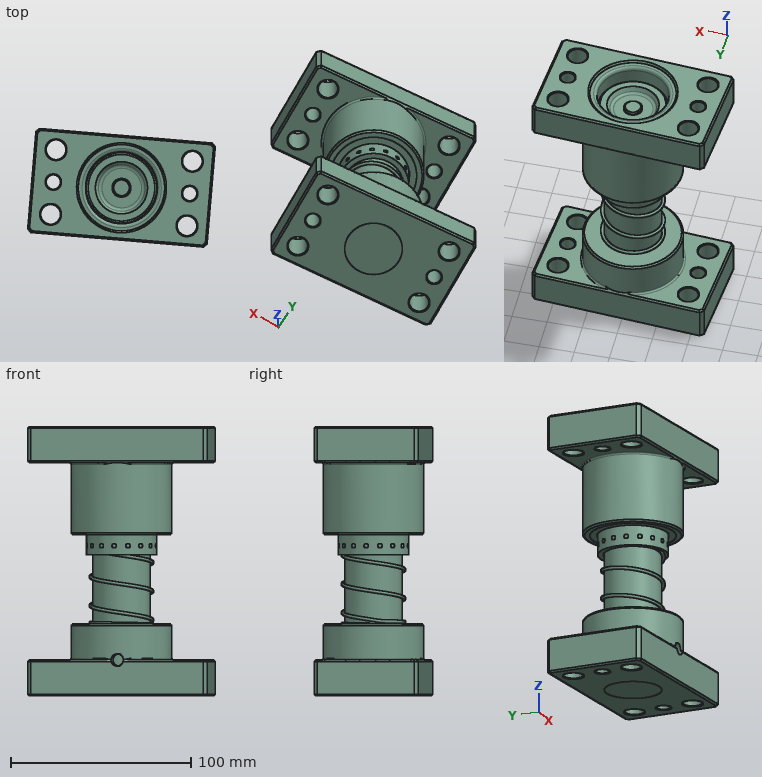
import cadquery as cq
import math


total_height = 149.61
plate_length = 100.0
plate_width = 58.0
plate_thickness = 20.0
corner_chamfer = 2.0
edge_chamfer = 1.0
plate_turn = -4.82
boss_radius = 28.0
boss_chamfer = 1.0
boss_root_fillet = 1.0
lower_holder_height = 40.0
upper_holder_height = 60.0
upper_holder_bottom = total_height - upper_holder_height

hole_spacing_x = 76.0
bolt_spacing_y = 36.0
bolt_hole_radius = 5.5
dowel_hole_radius = 4.0
hole_chamfer = 0.5
screw_hole_radius = 3.4

bush_radius = 24.0
bush_bore_radius = 20.0
bush_mouth_fillet = 2.0
bush_seat_chamfer = 1.0
bush_top = total_height - bush_seat_chamfer

post_radius = 16.0

ball_radius = (bush_bore_radius - post_radius) / 2
ball_circle_radius = post_radius + ball_radius
ball_count = 16
ball_row_start = 280.5
ball_row_height = 5.0
cage_radius = 19.6
cage_bore_radius = 16.5
cage_bottom = 78.4

cap_top = total_height - 10.0
cap_floor = cap_top - 3.0
cap_thickness = 2.0
cap_bottom = cap_floor - cap_thickness
cap_radius = 18.5
cap_flange_thickness = 1.5
cap_flange_bottom = cap_top - cap_flange_thickness
cap_mouth_radius = 14.5
cap_floor_radius = 11.0
cap_corner_radius = 12.9
cap_corner_height = 0.8

screw_radius = 5.2
screw_chamfer = 0.8
screw_top = cap_floor + 1.5
screw_bottom = cap_bottom - 10.0

wire_radius = 0.9
coil_radius = 17.0
coil_pitch = 16.0
closed_pitch = 2.0
knee_angle = 15.0
knee_height = lower_holder_height + 1.5
closed_turns = 0.94
open_turns = (cage_bottom + 2 * wire_radius - knee_height) / coil_pitch
path_steps_per_turn = 16


def cylinder(radius, bottom, top):
    return cq.Workplane("XY").workplane(offset=bottom).circle(radius).extrude(top - bottom)


def chamfered_hole(x, y, radius):
    """Cutter for a through hole in a plate, chamfered at both faces."""
    mouth = radius + hole_chamfer
    profile = (
        cq.Workplane("XZ")
        .moveTo(0, 0)
        .lineTo(mouth, 0)
        .lineTo(radius, hole_chamfer)
        .lineTo(radius, plate_thickness - hole_chamfer)
        .lineTo(mouth, plate_thickness)
        .lineTo(0, plate_thickness)
        .close()
    )
    return profile.revolve(360, (0, 0), (0, 1)).translate((x, y, 0))


def boss_root():
    """Fillet ring at the foot of a boss, cut off by the plate's edge chamfers."""
    foot = boss_radius + boss_root_fillet
    z = plate_thickness
    ring = (
        cq.Workplane("XZ")
        .moveTo(0, z)
        .lineTo(foot, z)
        .radiusArc((boss_radius, z + boss_root_fillet), boss_root_fillet)
        .lineTo(0, z + boss_root_fillet)
        .close()
        .revolve(360, (0, 0), (0, 1))
    )
    half_face = plate_width / 2 - edge_chamfer
    chamfer_planes = (
        cq.Workplane("YZ")
        .moveTo(-half_face, z)
        .lineTo(half_face, z)
        .lineTo(half_face - boss_root_fillet, z + boss_root_fillet)
        .lineTo(-half_face + boss_root_fillet, z + boss_root_fillet)
        .close()
        .extrude(plate_length / 2, both=True)
    )
    return ring.intersect(chamfer_planes)


def holder_blank(height):
    """Flanged holder with its plate at Z = 0 and its boss pointing up."""
    plate = (
        cq.Workplane("XY")
        .box(plate_length, plate_width, plate_thickness, centered=(True, True, False))
        .edges("|Z")
        .chamfer(corner_chamfer)
        .faces("<Z or >Z")
        .chamfer(edge_chamfer)
    )
    boss = cylinder(boss_radius, plate_thickness / 2, height).faces(">Z").chamfer(boss_chamfer)
    blank = plate.union(boss).union(boss_root())
    for side in (-1, 1):
        x = side * hole_spacing_x / 2
        blank = blank.cut(chamfered_hole(x, 0, dowel_hole_radius))
        for y in (-bolt_spacing_y / 2, bolt_spacing_y / 2):
            blank = blank.cut(chamfered_hole(x, y, bolt_hole_radius))
    return blank


def turned(body):
    return body.rotate((0, 0, 0), (0, 0, 1), plate_turn)


def make_lower_holder():
    radial_hole = (
        cq.Workplane("XZ", origin=(0, -plate_width / 2, plate_thickness))
        .circle(screw_hole_radius)
        .extrude(-plate_width / 2)
    )
    body = holder_blank(lower_holder_height).cut(radial_hole)
    return turned(body.cut(cylinder(post_radius, 0, lower_holder_height)))


def make_upper_holder():
    blank = holder_blank(upper_holder_height).rotate((0, 0, 0), (1, 0, 0), 180)
    body = blank.translate((0, 0, total_height))
    body = body.cut(cylinder(bush_radius, upper_holder_bottom, total_height))
    bush_mouth = body.faces(">Z").edges("%CIRCLE").edges(cq.selectors.RadiusNthSelector(-1))
    return turned(bush_mouth.chamfer(bush_seat_chamfer))


def make_bush():
    body = cylinder(bush_radius, upper_holder_bottom, bush_top)
    body = body.cut(cylinder(bush_bore_radius, upper_holder_bottom, bush_top))
    bore_mouth = cq.selectors.RadiusNthSelector(0)
    return body.faces(">Z").edges(bore_mouth).fillet(bush_mouth_fillet)


def make_post():
    body = cylinder(post_radius, 0, cap_bottom)
    return body.cut(cylinder(screw_radius, screw_bottom, cap_bottom))


def make_cage():
    cage = cylinder(cage_radius, cage_bottom, cap_flange_bottom)
    cage = cage.cut(cylinder(cage_bore_radius, cage_bottom, cap_flange_bottom))
    for i in range(ball_count):
        angle = math.radians(ball_row_start + i * 360 / ball_count)
        x = ball_circle_radius * math.cos(angle)
        y = ball_circle_radius * math.sin(angle)
        ball = cq.Workplane("XY").sphere(ball_radius)
        cage = cage.union(ball.translate((x, y, cage_bottom + ball_row_height)))
    return cage


def make_cap():
    corner = cap_floor + cap_corner_height
    corner_width = cap_corner_radius - cap_floor_radius
    corner_arc_radius = (corner_width**2 + cap_corner_height**2) / (2 * cap_corner_height)
    return (
        cq.Workplane("XZ")
        .moveTo(screw_radius, cap_bottom)
        .lineTo(cage_bore_radius, cap_bottom)
        .lineTo(cage_bore_radius, cap_flange_bottom)
        .lineTo(cap_radius, cap_flange_bottom)
        .lineTo(cap_radius, cap_top)
        .lineTo(cap_mouth_radius, cap_top)
        .lineTo(cap_corner_radius, corner)
        .radiusArc((cap_floor_radius, cap_floor), corner_arc_radius)
        .lineTo(screw_radius, cap_floor)
        .close()
        .revolve(360, (0, 0), (0, 1))
    )


def make_screw():
    return cylinder(screw_radius, screw_bottom, screw_top).faces(">Z").chamfer(screw_chamfer)


def spring_point(turns):
    """Point on the wire's centre line, counted in turns up from the knee."""
    pitch = coil_pitch if turns > 0 else closed_pitch
    angle = math.radians(knee_angle - 360 * turns)
    return (coil_radius * math.cos(angle), coil_radius * math.sin(angle), knee_height + pitch * turns)


def make_spring():
    """Left-hand spring with a closed lower coil, ground flat at both ends."""
    steps = math.ceil((closed_turns + open_turns) * path_steps_per_turn)
    turn_step = (closed_turns + open_turns) / steps
    points = [spring_point(i * turn_step - closed_turns) for i in range(steps + 1)]
    path = cq.Edge.makeSpline([cq.Vector(*point) for point in points])
    start = cq.Plane(origin=points[0], normal=path.tangentAt(0).toTuple())
    wire = cq.Workplane(start).circle(wire_radius).sweep(cq.Workplane(path), isFrenet=True)
    return wire.intersect(cylinder(bush_radius, lower_holder_height, cage_bottom))


lower_holder = make_lower_holder()
upper_holder = make_upper_holder()
bush = make_bush()
post = make_post()
cage = make_cage()
cap = make_cap()
screw = make_screw()
spring = make_spring()

result = cq.Compound.makeCompound(
    [
        lower_holder.val(),
        upper_holder.val(),
        bush.val(),
        post.val(),
        cage.val(),
        cap.val(),
        screw.val(),
        spring.val(),
    ]
)